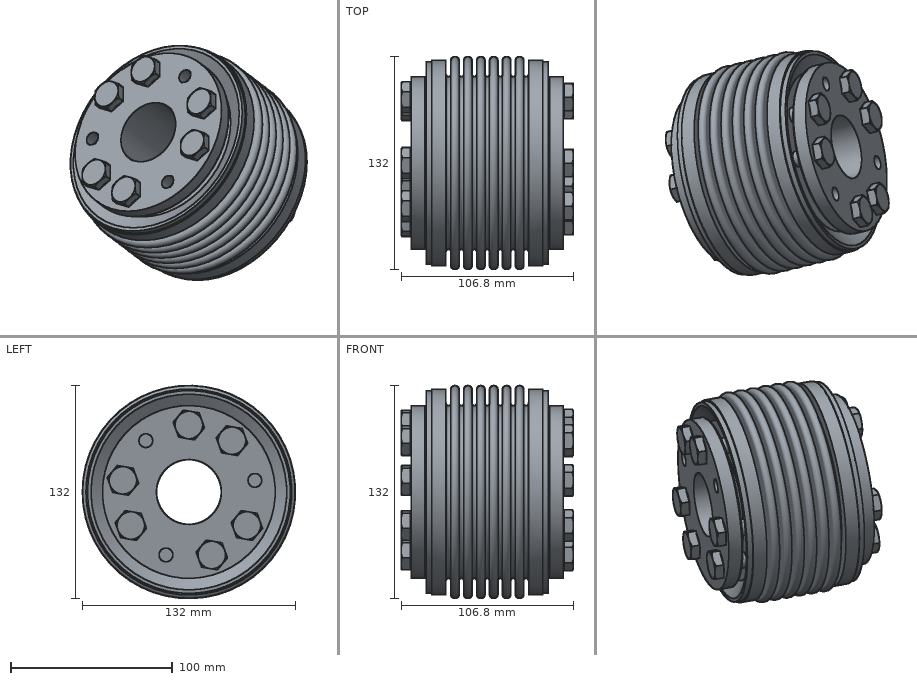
import math

import cadquery as cq

overall_length = 106.8
bore_diameter = 40.0
overlap = 0.2

crest_count = 6
crest_pitch = 8.0
crest_width = 5.3
crest_diameter = 132.0
valley_width = crest_pitch - crest_width
valley_diameter = 107.0

collar_inner_x = 25.6
collar_step_x = 34.4
collar_outer_x = 37.9
collar_diameter = 127.6
collar_rim_diameter = 125.6

recess_mouth_diameter = 121.2
recess_floor_diameter = 100.8
recess_floor_x = 31.5
sleeve_diameter = 66.85

bolt_circle_diameter = 83.0
position_step = 40.0
bolt_angles = [position_step * i for i in (0, 1, 3, 4, 6, 7)]
tapped_angles = [position_step * i for i in (2, 5, 8)]
tapped_hole_diameter = 8.5
head_across_flats = 17.0
head_height = 6.2
head_chamfer_angle = 30.0
washer_face_diameter = 15.4
washer_face_height = 0.4
shank_diameter = 10.0
left_head_turn = 10.0
right_head_turn = 90.0

hub_diameter = 107.0
hub_outer_x = overall_length / 2 - head_height
hub_inner_x = 37.7
hub_chamfer = 1.0


def disc(diameter, start_x, end_x):
    """Cylinder on the coupling axis between two X positions."""
    return cq.Workplane("YZ", origin=(start_x, 0, 0)).circle(diameter / 2).extrude(end_x - start_x)


def on_bolt_circle(angles):
    """(Y, Z) points on the bolt circle, angles measured from +Z towards -Y."""
    radius = bolt_circle_diameter / 2
    turns = [math.radians(angle) for angle in angles]
    return [(-radius * math.sin(turn), radius * math.cos(turn)) for turn in turns]


def cylinders(angles, diameter, start_x, end_x):
    """Cylinders parallel to X at the given bolt circle angles."""
    plane = cq.Workplane("YZ", origin=(start_x, 0, 0))
    return plane.pushPoints(on_bolt_circle(angles)).circle(diameter / 2).extrude(end_x - start_x)


def make_bellows():
    crest_radius = crest_width / 2
    valley_radius = valley_width / 2
    crest_top = crest_diameter / 2
    valley_bottom = valley_diameter / 2
    flank_top = crest_top - crest_radius
    flank_bottom = valley_bottom + valley_radius
    end_x = collar_inner_x + overlap

    first_crest_x = -crest_pitch * (crest_count - 1) / 2
    first_valley_x = first_crest_x - crest_pitch / 2
    profile = cq.Workplane("XY").moveTo(-end_x, 0).lineTo(-end_x, flank_bottom)
    profile = profile.lineTo(first_valley_x - valley_radius, flank_bottom)
    for i in range(crest_count):
        crest_x = first_crest_x + i * crest_pitch
        valley_x = crest_x - crest_pitch / 2
        profile = profile.threePointArc((valley_x, valley_bottom), (valley_x + valley_radius, flank_bottom))
        profile = profile.lineTo(crest_x - crest_radius, flank_top)
        profile = profile.threePointArc((crest_x, crest_top), (crest_x + crest_radius, flank_top))
        profile = profile.lineTo(crest_x + crest_radius, flank_bottom)
    last_valley_x = -first_valley_x
    last_valley_end = (last_valley_x + valley_radius, flank_bottom)
    profile = profile.threePointArc((last_valley_x, valley_bottom), last_valley_end)
    profile = profile.lineTo(end_x, flank_bottom).lineTo(end_x, 0).close()
    return profile.revolve(360, (0, 0, 0), (1, 0, 0))


def make_collar():
    """Stepped collar on the +X side with its conical recess."""
    outline = [
        (collar_inner_x, 0),
        (collar_inner_x, collar_diameter / 2),
        (collar_step_x, collar_diameter / 2),
        (collar_step_x, collar_rim_diameter / 2),
        (collar_outer_x, collar_rim_diameter / 2),
        (collar_outer_x, recess_mouth_diameter / 2),
        (recess_floor_x, recess_floor_diameter / 2),
        (recess_floor_x, 0),
    ]
    return cq.Workplane("XY").polyline(outline).close().revolve(360, (0, 0, 0), (1, 0, 0))


def make_hub():
    """Hub flange on the +X side with tapped holes, its sleeve and bolt shanks."""
    flange = disc(hub_diameter, hub_inner_x, hub_outer_x).faces("<X").edges().chamfer(hub_chamfer)
    flange = flange.cut(cylinders(tapped_angles, tapped_hole_diameter, hub_inner_x, hub_outer_x))
    sleeve = disc(sleeve_diameter, recess_floor_x - overlap, hub_inner_x + overlap)
    shanks = cylinders(bolt_angles, shank_diameter, recess_floor_x - overlap, hub_inner_x + overlap)
    return flange.union(sleeve).union(shanks)


def make_bolt_heads(turn):
    """Chamfered hexagon heads with washer faces on the +X side, each turned about its own axis."""
    across_corners = head_across_flats / math.cos(math.radians(30))
    chamfer_width = (across_corners - head_across_flats) / 2
    chamfer_height = chamfer_width * math.tan(math.radians(head_chamfer_angle))
    hex_height = head_height - washer_face_height
    hexagon = cq.Workplane("YZ").polygon(6, across_corners).extrude(hex_height)
    envelope = cq.Workplane("YZ").circle(across_corners / 2).extrude(hex_height)
    envelope = envelope.faces(">X").edges().chamfer(chamfer_height, chamfer_width)
    head = hexagon.intersect(envelope).rotate((0, 0, 0), (1, 0, 0), turn)

    hex_start_x = hub_outer_x + washer_face_height
    heads = cylinders(bolt_angles, washer_face_diameter, hub_outer_x - overlap, hex_start_x)
    for y, z in on_bolt_circle(bolt_angles):
        heads = heads.union(head.translate((hex_start_x, y, z)))
    return heads


def mirrored(body):
    return body.mirror("YZ")


end_fitting = make_collar().union(make_hub())
result = make_bellows().union(end_fitting).union(mirrored(end_fitting))
result = result.union(make_bolt_heads(right_head_turn)).union(mirrored(make_bolt_heads(left_head_turn)))
result = result.cut(disc(bore_diameter, -overall_length / 2, overall_length / 2))